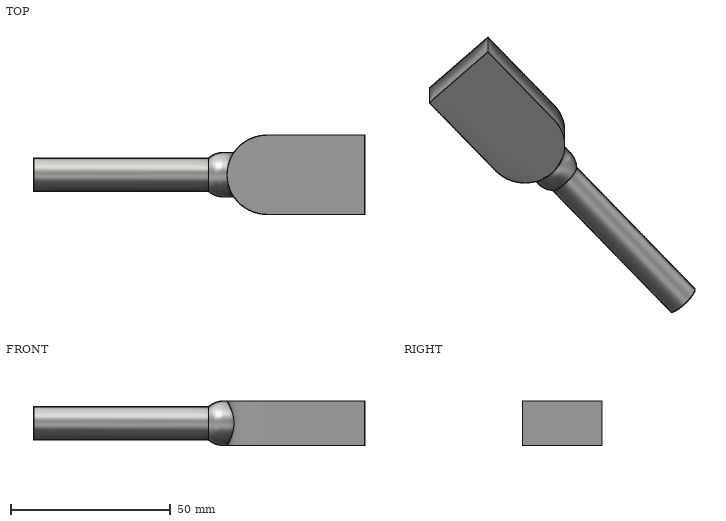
import cadquery as cq
import math

total_length = 104.0
block_width = 25.0
thickness = 14.0

end_radius = block_width / 2
straight_length = 30.8
end_center_x = total_length - straight_length

rod_diameter = 10.5
rod_radius = rod_diameter / 2
collar_radius = thickness / 2
collar_start_x = 59.4
shoulder_radius = 6.5


def make_block():
    """Flat block whose rod end is a half circle."""
    return (
        cq.Workplane("XY")
        .moveTo(total_length, -end_radius)
        .lineTo(total_length, end_radius)
        .lineTo(end_center_x, end_radius)
        .threePointArc((end_center_x - end_radius, 0), (end_center_x, -end_radius))
        .close()
        .extrude(thickness / 2, both=True)
    )


def make_stem():
    """Rod, rounded shoulder and collar, revolved about the X axis."""
    arc_center_r = collar_radius - shoulder_radius
    arc_angle = math.acos((rod_radius - arc_center_r) / shoulder_radius)
    shoulder_start_x = collar_start_x - shoulder_radius * math.sin(arc_angle)
    arc_middle = (
        collar_start_x - shoulder_radius * math.sin(arc_angle / 2),
        arc_center_r + shoulder_radius * math.cos(arc_angle / 2),
    )
    return (
        cq.Workplane("XY")
        .lineTo(0, rod_radius)
        .lineTo(shoulder_start_x, rod_radius)
        .threePointArc(arc_middle, (collar_start_x, collar_radius))
        .lineTo(end_center_x, collar_radius)
        .lineTo(end_center_x, 0)
        .close()
        .revolve(360, (0, 0, 0), (1, 0, 0))
    )


result = make_block().union(make_stem())